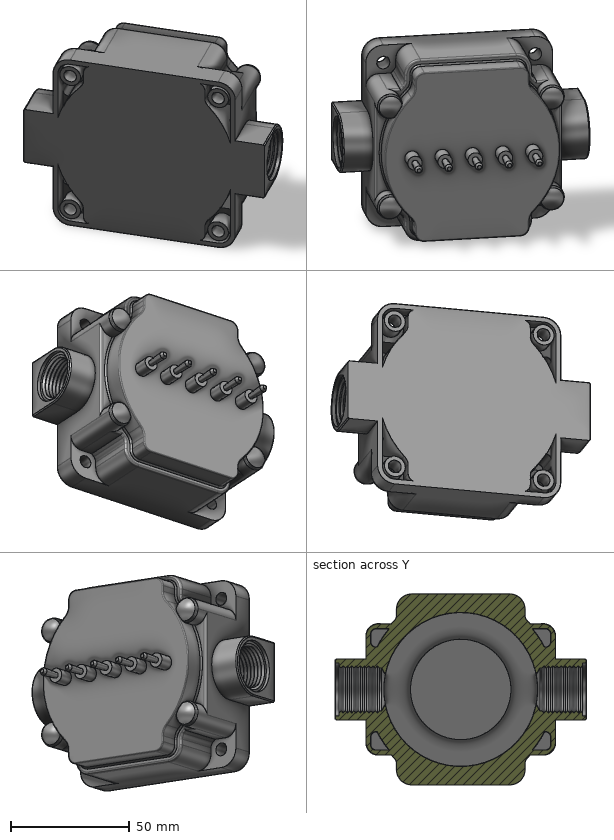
import cadquery as cq
import math


total_length = 106.1
half_width = 40.1
half_height = 40.4
flange_thickness = 10.0
flange_corner_radius = 7.5
body_top = 31.8
body_top_round = 1.0
cover_top = 41.3
pin_top = 58.6

neck_half_width = 27.3
neck_round = 6.7
corner_hollow = 3.3
side_half_height = 22.4

cover_inset = 2.9
cover_radius = half_height - cover_inset
cover_edge_round = 0.4
cover_lip = 0.7

post_radius = 5.4
post_x = half_width - post_radius
post_straight_top = 37.8
post_bevel_top = 38.4
post_bevel = 0.3
post_dome_start = 39.3
post_dome_foot_radius = 4.9
post_dome_top = 41.0

pin_count = 5
pin_pitch = 13.0
pin_base_radius = 3.1
pin_base_top = 48.4
pin_root_radius = 1.3
pin_head_radius = 1.6
pin_tip_radius = 0.8
pin_tip_length = 1.4

port_axis_y = 14.8
port_outer_radius = 13.0
port_edge_chamfer = 0.5
port_recess_radius = 11.0
port_recess_depth = 1.6
thread_major_radius = 9.9
thread_minor_radius = 8.9
thread_pitch = 1.8
thread_turns = 10
drill_slope = math.tan(math.radians(59))

chamber_radius = 32.5
chamber_floor = 4.2
chamber_roof = 29.7
hub_radius = 21.2
hub_bottom = 17.9

screw_pitch_half = 32.6
screw_hole_radius = 2.8
collar_radius = 4.6
pocket_wall = 2.1
pocket_depth = 7.9
pocket_inner_radius = 39.7
pocket_edge_x = 26.7
pocket_edge_low = 31.0
pocket_edge_high = 35.2
pocket_flare = 2.0
pocket_blend_x = 28.5
pocket_blend_radius = 5.7
deep_low = 17.9
deep_high = 25.6
deep_corner_radius = 2.1
deep_bottom = 21.2


def profile(y):
    """Sketch plane across Y, with X to the right and Z up."""
    return cq.Workplane("XZ", origin=(0, y, 0))


def rise(sketch, height):
    """Extrude an outline toward +Y."""
    return sketch.extrude(-height)


def disc(radius, y_start, y_end, x=0, z=0):
    return rise(profile(y_start).center(x, z).circle(radius), y_end - y_start)


def block(x_half, z_half, y_start, y_end):
    return rise(profile(y_start).rect(2 * x_half, 2 * z_half), y_end - y_start)


def four_corners(shape):
    """The shape from the +X +Z corner, mirrored to all four corners."""
    pair = shape.union(shape.mirror("YZ"))
    return pair.union(pair.mirror("XY"))


def revolve_about_y(points, x):
    """Turn (radius, y) points about an axis along Y."""
    outline = cq.Workplane("XY").polyline(points).close()
    return outline.revolve(360, (0, 0, 0), (0, 1, 0)).translate((x, 0, 0))


def make_flange():
    return block(half_width, half_height, 0, flange_thickness).edges("|Y").fillet(flange_corner_radius)


def lobed_profile(x_half, round_part, y_start, y_end):
    """Disc with a rounded lug at |Z| = its radius, each foot of the lug hollowed to run into the disc."""
    inset = half_height - round_part
    upper_round = neck_round - inset
    hollow = corner_hollow + inset
    hollow_x = x_half + hollow
    hollow_z = math.sqrt((round_part + hollow) ** 2 - hollow_x**2)
    foot_share = round_part / (round_part + hollow)
    outline = (
        profile(y_start)
        .moveTo(0, round_part)
        .lineTo(x_half - upper_round, round_part)
        .radiusArc((x_half, round_part - upper_round), upper_round)
        .lineTo(x_half, hollow_z)
        .radiusArc((hollow_x * foot_share, hollow_z * foot_share), -hollow)
        .radiusArc((round_part, 0), round_part)
        .lineTo(0, 0)
        .close()
    )
    return four_corners(rise(outline, y_end - y_start))


def make_body():
    envelope = block(half_width, half_height, 0, body_top)
    body = lobed_profile(neck_half_width, half_height, 0, body_top).intersect(envelope)
    body = body.union(block(half_width, side_half_height, 0, body_top))
    body = body.union(block(post_x, side_half_height + post_radius, 0, body_top))
    return body.faces(">Y").edges().fillet(body_top_round)


def make_cover():
    cover = lobed_profile(neck_half_width - cover_inset, cover_radius, chamber_roof, cover_top)
    cover = cover.faces(">Y").edges().fillet(cover_edge_round)
    foot_inset = cover_inset - cover_lip
    foot = lobed_profile(
        neck_half_width - foot_inset, half_height - foot_inset, body_top - cover_lip, body_top + cover_lip
    )
    return cover.union(foot.faces(">Y").edges().chamfer(cover_lip))


def make_posts():
    straight = disc(post_radius, 0, post_straight_top)
    dome_height = post_dome_top - post_dome_start
    dome_sphere_radius = (post_dome_foot_radius**2 + dome_height**2) / (2 * dome_height)
    cap = (
        cq.Workplane("XY")
        .moveTo(0, post_straight_top)
        .lineTo(post_radius, post_straight_top)
        .lineTo(post_radius - post_bevel, post_bevel_top)
        .lineTo(post_dome_foot_radius, post_dome_start)
        .radiusArc((0, post_dome_top), -dome_sphere_radius)
        .lineTo(0, post_straight_top)
        .close()
        .revolve(360, (0, 0, 0), (0, 1, 0))
    )
    return four_corners(straight.union(cap).translate((post_x, 0, side_half_height)))


def make_pins():
    outline = [
        (0, chamber_roof),
        (pin_base_radius, chamber_roof),
        (pin_base_radius, pin_base_top),
        (pin_root_radius, pin_base_top),
        (pin_head_radius, pin_top - pin_tip_length),
        (pin_tip_radius, pin_top),
        (0, pin_top),
    ]
    pins = cq.Workplane("XY")
    for index in range(pin_count):
        pins = pins.union(revolve_about_y(outline, (index - (pin_count - 1) / 2) * pin_pitch))
    return pins


def make_ports():
    half_length = total_length / 2
    outline = (
        cq.Workplane("YZ", origin=(-half_length, 0, 0))
        .moveTo(0, -port_outer_radius)
        .lineTo(port_axis_y, -port_outer_radius)
        .threePointArc((port_axis_y + port_outer_radius, 0), (port_axis_y, port_outer_radius))
        .lineTo(0, port_outer_radius)
        .close()
    )
    bar = outline.extrude(total_length)
    return bar.faces("<X or >X").edges("not(<Y)").chamfer(port_edge_chamfer)


def make_port_bores():
    """Recess, thread ridges and drilled cone, turned about each port axis."""
    mouth = total_length / 2
    recess_end = mouth - port_recess_depth
    thread_end = recess_end - thread_turns * thread_pitch
    points = [(mouth, 0), (mouth, port_recess_radius), (recess_end, port_recess_radius)]
    for turn in range(thread_turns):
        root = recess_end - turn * thread_pitch
        points.append((root, thread_major_radius))
        points.append((root - thread_pitch / 2, thread_minor_radius))
    points.append((thread_end, thread_minor_radius))
    points.append((thread_end - thread_minor_radius / drill_slope, 0))
    bore = cq.Workplane("XY").polyline(points).close().revolve(360, (0, 0, 0), (1, 0, 0))
    bore = bore.translate((0, port_axis_y, 0))
    return bore.union(bore.mirror("YZ"))


def make_chamber():
    chamber = disc(chamber_radius, chamber_floor, chamber_roof)
    return chamber.cut(disc(hub_radius, hub_bottom, chamber_roof))


def make_pockets():
    outer_x = half_width - pocket_wall
    outer_z = half_height - pocket_wall
    corner = flange_corner_radius - pocket_wall
    inner_z = math.sqrt(pocket_inner_radius**2 - outer_x**2)
    blend_z = math.sqrt(pocket_inner_radius**2 - pocket_blend_x**2)
    flare_radius = (pocket_flare**2 + (outer_z - pocket_edge_high) ** 2) / (2 * pocket_flare)
    outline = (
        profile(0)
        .moveTo(outer_x, inner_z)
        .lineTo(outer_x, outer_z - corner)
        .radiusArc((outer_x - corner, outer_z), -corner)
        .lineTo(pocket_edge_x - pocket_flare, outer_z)
        .radiusArc((pocket_edge_x, pocket_edge_high), flare_radius)
        .lineTo(pocket_edge_x, pocket_edge_low)
        .radiusArc((pocket_blend_x, blend_z), -pocket_blend_radius)
        .radiusArc((outer_x, inner_z), pocket_inner_radius)
        .close()
    )
    pocket = rise(outline, pocket_depth)
    pocket = pocket.cut(disc(collar_radius, 0, pocket_depth, screw_pitch_half, screw_pitch_half))
    deep = (
        cq.Workplane("XY")
        .box(outer_x, deep_bottom, deep_high - deep_low, centered=False)
        .translate((0, 0, deep_low))
        .edges("|Y and >X")
        .fillet(deep_corner_radius)
        .cut(disc(pocket_inner_radius, 0, deep_bottom))
    )
    return four_corners(pocket.union(deep))


def make_screw_holes():
    return four_corners(disc(screw_hole_radius, 0, flange_thickness, screw_pitch_half, screw_pitch_half))


result = make_flange()
for solid in (make_body(), make_posts(), make_cover(), make_pins(), make_ports()):
    result = result.union(solid)
for hollow_space in (make_chamber(), make_port_bores(), make_pockets(), make_screw_holes()):
    result = result.cut(hollow_space)